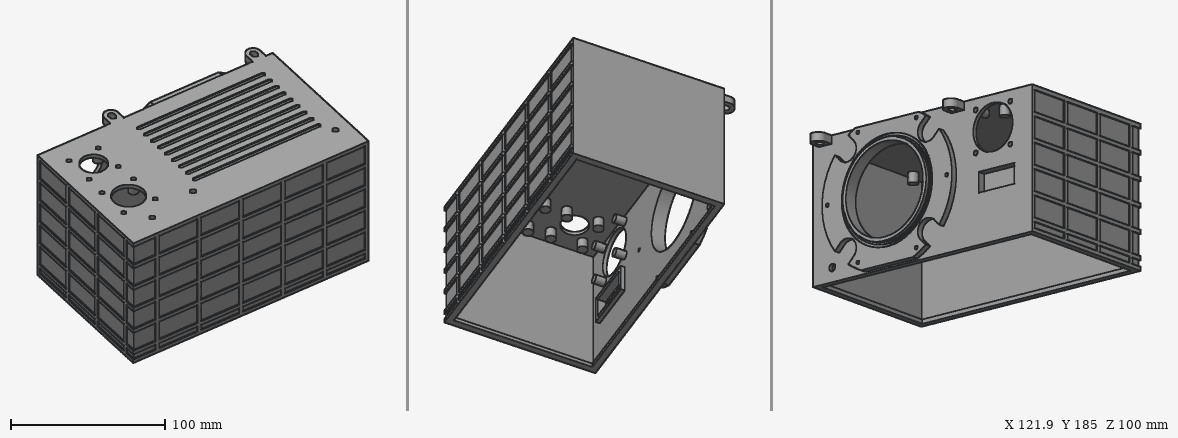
import cadquery as cq

body_x = 109.7
body_y = 185.0
body_z = 100.0
wall = 3.0

lip_height = 3.0
lip_depth = 1.7

rib = 3.0
panel_depth = 1.0
panel_length = 30.0
panel_height = 15.0
side_margin = 2.8
top_margin = 3.1
length_pitch = panel_length + rib
height_pitch = panel_height + rib

port_y = 118.8
port_z = 51.5
flange_radius = 54.8
flange_depth = 4.5
flange_bottom = 1.3
flange_top = 99.2
notch_width = 16.0
notch_offset = 48.0
ring_radius = 35.2
ring_depth = 2.5
port_radius = 32.5
groove_inner_radius = 36.5
groove_outer_radius = 38.3
groove_depth = 1.0
flange_side_screw_y = 50.3
flange_corner_screw_y = 24.6
flange_corner_screw_z = 44.2
flange_screw_diameter = 2.4

lug_reach = 12.2
lug_width = 10.5
lug_height = 6.0
lug_ys = (62.7, 174.5)
lug_slot_length = 6.3
lug_slot_width = 4.5
lug_slot_offset = 5.7

top_groove_count = 9
top_groove_pitch = 8.0
top_groove_first_x = 14.5
top_groove_width = 3.0
top_groove_length = 100.0
top_groove_depth = 1.0

top_boss_diameter = 7.0
side_boss_diameter = 6.1
boss_end_depth = 10.4
screw_depth = 9.2
small_screw_diameter = 3.3
cover_screw_diameter = 4.3
cover_screws = ((88.0, 173.7), (87.5, 62.2))

socket_y = 25.2
top_sockets = ((27.8, 9.5, 11.5), (67.7, 11.5, 12.4))
pin_x = 94.7
pin_diameter = 3.9

side_socket_y = 33.1
side_socket_z = 77.7
side_socket_radius = 16.6
side_screw_half_spacing = 14.6
window_y = 30.2
window_z = 42.5
window_width = 30.2
window_height = 14.2
window_depth = 6.0
window_frame = 3.0
cable_y = 168.7
cable_z = 10.0
cable_diameter = 5.0


def block(x0, x1, y0, y1, z0, z1):
    """Box between two opposite corners."""
    return cq.Workplane("XY").box(x1 - x0, y1 - y0, z1 - z0, centered=False).translate((x0, y0, z0))


def side_plane(x):
    """Sketch plane facing +X at the given x, with local axes Y and Z."""
    return cq.Workplane("YZ", origin=(x, 0, 0))


def top_plane(z):
    """Sketch plane facing +Z at the given z."""
    return cq.Workplane("XY", origin=(0, 0, z))


def rectangle_corners(u, v, half_u, half_v):
    """Four corner points of a rectangle around (u, v)."""
    return [(u + i * half_u, v + j * half_v) for i in (-1, 1) for j in (-1, 1)]


def make_shell():
    """Five-sided box with a lip inside its open bottom."""
    outer = block(0, body_x, 0, body_y, 0, body_z)
    cavity = block(wall, body_x - wall, wall, body_y - wall, lip_height, body_z - wall)
    rim = wall + lip_depth
    mouth = block(rim, body_x - rim, rim, body_y - rim, 0, lip_height)
    return outer.cut(cavity).cut(mouth)


def panel_spans(first, pitch, size, end):
    """Start and end of each recess along one direction, the last one stopping at the end."""
    spans = []
    start = first
    while start < end:
        spans.append((start, min(start + size, end)))
        start += pitch
    return spans


def make_panels():
    """Recesses of the -Y and +X walls, meeting at their common edge."""
    rows = panel_spans(top_margin, height_pitch, panel_height, body_z - rib)
    panels = cq.Workplane("XY")
    for row_top, row_bottom in rows:
        z0 = body_z - row_bottom
        z1 = body_z - row_top
        for x0, x1 in panel_spans(side_margin, length_pitch, panel_length, body_x):
            panels = panels.add(block(x0, x1, 0, panel_depth, z0, z1))
        for back_0, back_1 in panel_spans(side_margin, length_pitch, panel_length, body_y):
            panels = panels.add(
                block(body_x - panel_depth, body_x, body_y - back_1, body_y - back_0, z0, z1)
            )
    return panels.combine()


def make_flange():
    """Notched disc with flat top and bottom, carrying a raised ring."""
    disc = side_plane(-flange_depth).center(port_y, port_z).circle(flange_radius).extrude(flange_depth)
    flats = block(-flange_depth, 0, 0, body_y, flange_bottom, flange_top)
    flange = disc.intersect(flats)
    notch_length = 2 * (flange_radius - notch_offset) + 2 * notch_width
    notch_centre = notch_offset + (notch_length - notch_width) / 2
    notch = (
        side_plane(-flange_depth)
        .center(port_y, port_z)
        .polarArray(notch_centre, 45, 360, 4)
        .slot2D(notch_length, notch_width)
        .extrude(flange_depth)
    )
    front = side_plane(-flange_depth).center(port_y, port_z)
    ring = front.circle(ring_radius).extrude(-ring_depth)
    groove = front.circle(groove_outer_radius).circle(groove_inner_radius).extrude(groove_depth)
    return flange.cut(notch).cut(groove).union(ring)


def make_port_holes():
    """Large round hole and the screw holes around it."""
    front = side_plane(-flange_depth - ring_depth).center(port_y, port_z)
    depth = flange_depth + ring_depth + wall
    port = front.circle(port_radius).extrude(depth)
    sides = [(-flange_side_screw_y, 0), (flange_side_screw_y, 0)]
    corners = rectangle_corners(0, 0, flange_corner_screw_y, flange_corner_screw_z)
    screws = (
        front.pushPoints(sides + corners)
        .circle(flange_screw_diameter / 2)
        .extrude(depth)
    )
    return port.union(screws)


def make_lug(y):
    """Round-ended lug with a slotted hole."""
    radius = lug_width / 2
    plane = cq.Workplane("XY", origin=(0, y, body_z - lug_height))
    lug = (
        plane.moveTo(0, -radius)
        .lineTo(radius - lug_reach, -radius)
        .threePointArc((-lug_reach, 0), (radius - lug_reach, radius))
        .lineTo(0, radius)
        .close()
        .extrude(lug_height)
    )
    slot = plane.center(-lug_slot_offset, 0).slot2D(lug_slot_length, lug_slot_width).extrude(lug_height)
    return lug.cut(slot)


def make_top_grooves():
    """Row of long shallow grooves in the top face."""
    centres = [(top_groove_first_x + i * top_groove_pitch, port_y) for i in range(top_groove_count)]
    return (
        top_plane(body_z - top_groove_depth)
        .pushPoints(centres)
        .slot2D(top_groove_length, top_groove_width, 90)
        .extrude(top_groove_depth)
    )


socket_screws = []
for socket_x, _, half_spacing in top_sockets:
    socket_screws += rectangle_corners(socket_x, socket_y, half_spacing, half_spacing)
side_screws = rectangle_corners(
    side_socket_y, side_socket_z, side_screw_half_spacing, side_screw_half_spacing
)

result = make_shell().cut(make_panels()).union(make_flange())
for lug_y in lug_ys:
    result = result.union(make_lug(lug_y))
boss_length = boss_end_depth - wall / 2
top_bosses = (
    top_plane(body_z - boss_end_depth)
    .pushPoints(socket_screws + list(cover_screws))
    .circle(top_boss_diameter / 2)
    .extrude(boss_length)
)
side_bosses = (
    side_plane(wall / 2).pushPoints(side_screws).circle(side_boss_diameter / 2).extrude(boss_length)
)
frame = (
    side_plane(wall / 2)
    .center(window_y, window_z)
    .rect(window_width + 2 * window_frame, window_height + 2 * window_frame)
    .extrude(window_depth - wall / 2)
)
result = result.union(top_bosses).union(side_bosses).union(frame)

for socket_x, socket_radius, _ in top_sockets:
    socket = top_plane(body_z).center(socket_x, socket_y).circle(socket_radius)
    result = result.cut(socket.extrude(-wall))
result = result.cut(top_plane(body_z).center(pin_x, socket_y).circle(pin_diameter / 2).extrude(-wall))
result = result.cut(
    top_plane(body_z).pushPoints(socket_screws).circle(small_screw_diameter / 2).extrude(-screw_depth)
)
result = result.cut(
    top_plane(body_z).pushPoints(cover_screws).circle(cover_screw_diameter / 2).extrude(-screw_depth)
)
result = result.cut(make_top_grooves())

side_face = side_plane(0)
result = result.cut(make_port_holes())
result = result.cut(
    side_face.center(side_socket_y, side_socket_z).circle(side_socket_radius).extrude(wall)
)
result = result.cut(side_face.pushPoints(side_screws).circle(small_screw_diameter / 2).extrude(screw_depth))
result = result.cut(
    side_face.center(window_y, window_z).rect(window_width, window_height).extrude(window_depth)
)
result = result.cut(side_face.center(cable_y, cable_z).circle(cable_diameter / 2).extrude(wall))